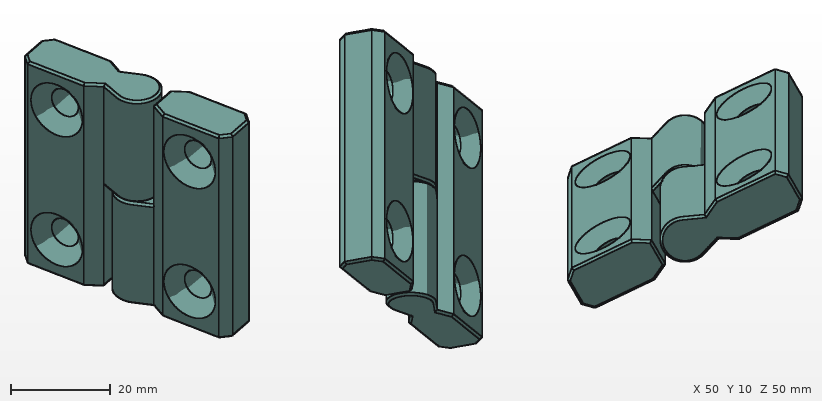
import cadquery as cq
import math

width = 50.0
height = 50.0
thickness = 10.0

half_thickness = thickness / 2
outer_edge = width / 2
outer_bevel = 2.0
flat_end = 9.5
inner_edge = 6.0
inner_half_thickness = 3.0
knuckle_radius = half_thickness

edge_chamfer = 0.5

hole_offset = 16.0
hole_diameter = 6.4
sink_diameter = 12.4
sink_angle = 90.0


def leaf_plate():
    """Full-height plate on the -X side, bevelled along its outer and inner edges."""
    return (
        cq.Workplane("XY")
        .workplane(offset=-height / 2)
        .moveTo(-inner_edge, -inner_half_thickness)
        .lineTo(-flat_end, -half_thickness)
        .lineTo(-outer_edge + outer_bevel, -half_thickness)
        .lineTo(-outer_edge, -half_thickness + outer_bevel)
        .lineTo(-outer_edge, half_thickness - outer_bevel)
        .lineTo(-outer_edge + outer_bevel, half_thickness)
        .lineTo(-flat_end, half_thickness)
        .lineTo(-inner_edge, inner_half_thickness)
        .close()
        .extrude(height)
    )


def leaf_knuckle():
    """Upper-half knuckle: round about the pivot, joined to the plate by tangent flats."""
    corner_distance = math.hypot(inner_edge, inner_half_thickness)
    corner_angle = math.atan2(inner_half_thickness, -inner_edge)
    tangent_angle = corner_angle - math.acos(knuckle_radius / corner_distance)
    tangent_x = knuckle_radius * math.cos(tangent_angle)
    tangent_y = knuckle_radius * math.sin(tangent_angle)
    knuckle = (
        cq.Workplane("XY")
        .moveTo(-inner_edge, -inner_half_thickness)
        .lineTo(tangent_x, -tangent_y)
        .threePointArc((knuckle_radius, 0), (tangent_x, tangent_y))
        .lineTo(-inner_edge, inner_half_thickness)
        .close()
        .extrude(height / 2)
    )
    return knuckle.faces("<Z").edges("not(<X)").chamfer(edge_chamfer)


def cut_screw_holes(leaf):
    """Two through holes, countersunk from the -Y face."""
    front_face = cq.Workplane("XZ", origin=(-hole_offset, -half_thickness, 0))
    return (
        leaf.copyWorkplane(front_face)
        .pushPoints([(0, -hole_offset), (0, hole_offset)])
        .cskHole(hole_diameter, sink_diameter, sink_angle)
    )


def make_leaf():
    """One hinge leaf: plate and knuckle in one solid, chamfered at both ends."""
    leaf = leaf_plate().union(leaf_knuckle())
    leaf = leaf.faces("<Z or >Z").edges().chamfer(edge_chamfer)
    return cut_screw_holes(leaf)


leaves = []
for turn in (0, 180):
    leaves.append(make_leaf().rotate((0, 0, 0), (0, 1, 0), turn))

result = cq.Compound.makeCompound([leaf.val() for leaf in leaves])